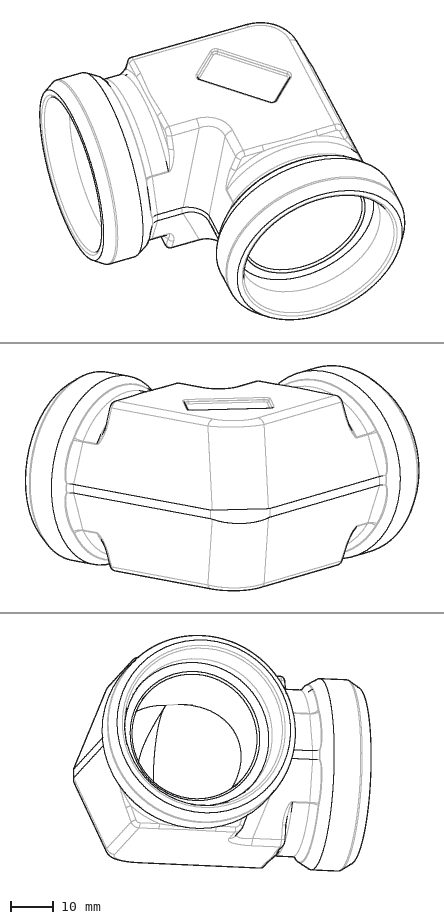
import cadquery as cq
import math

collar_radius = 45.0 / 2
port_length = 67.5 - collar_radius

body_half_height = 20.5
body_half_width = 20.0
side_flat_half_height = 1.045
side_slope = math.radians(20)
body_end = 34.4
outer_bend_radius = 10.0
inner_bend_radius = 5.0
rim_radius = 2.0

neck_radius = 19.65
neck_start = 26.0
neck_corner_radius = 1.0
neck_edge_radius = 1.0
neck_half_gap = 6.75

collar_wall = 33.15
collar_blend_radius = 2.0
bevel_end = 35.8
bevel_slope = math.radians(30)
shoulder_edge_radius = 0.35
collar_front = 42.3
face_radius = 20.8
front_edge_radius = 0.7

bore_radius = 30.0 / 2
drill_half_angle = math.radians(59)
socket_radius = 35.4 / 2
socket_floor = 34.5
socket_cone_angle = math.radians(12)
socket_mouth_radius = 19.05
mouth_edge_radius = 0.6
bore_chamfer = 0.55

panel_length = 20.7
panel_width = 10.9
panel_offset = 2.7
panel_corner_radius = 1.0
panel_depth = 0.9
panel_edge_radius = 0.4

tolerance = 0.1


def make_body():
    """Swept six-sided elbow with its sharp side ridges shaved to flats, then rounded."""
    slant_height = body_half_height - side_flat_half_height
    top_half_width = body_half_width - slant_height * math.tan(side_slope)
    ridge_half_width = body_half_width + side_flat_half_height * math.tan(side_slope)
    path = cq.Workplane("XY").moveTo(0, -body_end).lineTo(0, 0).lineTo(body_end, 0)
    elbow = (
        cq.Workplane("XZ", origin=(0, -body_end, 0))
        .moveTo(-top_half_width, body_half_height)
        .lineTo(top_half_width, body_half_height)
        .lineTo(ridge_half_width, 0)
        .lineTo(top_half_width, -body_half_height)
        .lineTo(-top_half_width, -body_half_height)
        .lineTo(-ridge_half_width, 0)
        .close()
        .sweep(path, transition="right")
    )
    mid_height = body_half_height / 2
    elbow = round_bend(elbow, [-mid_height, mid_height])

    flat_sided = (
        cq.Workplane("XY", origin=(0, 0, -body_half_height))
        .moveTo(-body_half_width, -body_end)
        .lineTo(-body_half_width, body_half_width)
        .lineTo(body_end, body_half_width)
        .lineTo(body_end, -body_half_width)
        .lineTo(body_half_width, -body_half_width)
        .lineTo(body_half_width, -body_end)
        .close()
        .extrude(2 * body_half_height)
    )
    elbow = elbow.intersect(round_bend(flat_sided, [0]))
    return elbow.faces("|Z").edges("not(>X or <Y)").fillet(rim_radius)


def round_bend(elbow, heights):
    """Round the mitred edges, at the given heights, outside and inside the bend."""
    for height in heights:
        outer = cq.selectors.NearestToPointSelector((-body_half_width, body_half_width, height))
        elbow = elbow.edges(outer).fillet(outer_bend_radius)
    for height in heights:
        inner = cq.selectors.NearestToPointSelector((body_half_width, -body_half_width, height))
        elbow = elbow.edges(inner).fillet(inner_bend_radius)
    return elbow


def cut_panel(body):
    """Sink the rounded panel at 45 degrees across the bend, with soft floor and rim edges."""
    plane = cq.Plane(
        origin=(panel_offset, -panel_offset, body_half_height - panel_depth),
        xDir=(1, 1, 0),
        normal=(0, 0, 1),
    )
    pocket = (
        cq.Workplane(plane)
        .rect(panel_length - 2 * panel_edge_radius, panel_width - 2 * panel_edge_radius)
        .extrude(panel_depth)
        .edges("|Z")
        .fillet(panel_corner_radius)
        .faces("<Z")
        .edges()
        .fillet(panel_edge_radius)
    )
    reach = panel_length / 2
    around_panel = cq.selectors.BoxSelector(
        (panel_offset - reach, -panel_offset - reach, body_half_height - tolerance),
        (panel_offset + reach, -panel_offset + reach, body_half_height + tolerance),
    )
    return body.cut(pocket).faces(">Z").edges(around_panel).fillet(panel_edge_radius)


def cut_neck(body):
    """Turn the +X neck above and below the side gap, and soften the edge of its end wall."""
    ring_radius = 2 * body_half_width
    ring_end = body_end + 0.7
    blend = neck_corner_radius * (1 - math.sqrt(0.5))
    ring = (
        cq.Workplane("XY")
        .moveTo(neck_start, ring_radius)
        .lineTo(neck_start, neck_radius + neck_corner_radius)
        .threePointArc(
            (neck_start + blend, neck_radius + blend),
            (neck_start + neck_corner_radius, neck_radius),
        )
        .lineTo(ring_end, neck_radius)
        .lineTo(ring_end, ring_radius)
        .close()
        .revolve(360, (0, 0, 0), (1, 0, 0))
    )
    side_gap = cq.Workplane("XY").box(2 * ring_end, 2 * ring_radius, 2 * neck_half_gap)
    body = body.cut(ring.cut(side_gap))
    for low, high in [(neck_half_gap, ring_radius), (-ring_radius, -neck_half_gap)]:
        wall_edges = cq.selectors.BoxSelector(
            (neck_start - tolerance, -ring_radius, low),
            (neck_start + tolerance, ring_radius, high),
        )
        body = body.edges(wall_edges).fillet(neck_edge_radius)
    return body


def edges_at(x, radius):
    """Selector for the edges around the X axis near x that lie within the radius."""
    reach = radius + tolerance
    return cq.selectors.BoxSelector(
        (x - tolerance, -reach, -reach), (x + tolerance, reach, reach), boundingbox=True
    )


def make_collar():
    """Plain collar with a square back, a chamfered front and the socket opening in it."""
    collar = (
        cq.Workplane("XY")
        .moveTo(collar_wall, 0)
        .lineTo(collar_wall, collar_radius)
        .lineTo(collar_front, collar_radius)
        .lineTo(port_length, face_radius)
        .lineTo(port_length, 0)
        .close()
        .revolve(360, (0, 0, 0), (1, 0, 0))
    )
    collar = collar.edges(edges_at(collar_front, collar_radius)).fillet(front_edge_radius)
    collar = collar.cut(make_bore())
    return collar.edges(edges_at(port_length, socket_mouth_radius)).fillet(mouth_edge_radius)


def add_collar(body):
    """Join the +X collar with a blend all round, then bevel its back through the blend."""
    body = body.union(make_collar())
    body = body.edges(edges_at(collar_wall, body_half_width)).fillet(collar_blend_radius)
    bevel_start = collar_wall - collar_blend_radius / 2
    bevel_low_radius = collar_radius - (bevel_end - bevel_start) * math.tan(bevel_slope)
    bevel_ring = (
        cq.Workplane("XY")
        .moveTo(bevel_start, bevel_low_radius)
        .lineTo(bevel_end, collar_radius)
        .lineTo(bevel_end, collar_radius + 0.7)
        .lineTo(bevel_start, collar_radius + 0.7)
        .close()
        .revolve(360, (0, 0, 0), (1, 0, 0))
    )
    shoulder = cq.selectors.BoxSelector(
        (bevel_start, -collar_radius, -collar_radius),
        (collar_wall + tolerance, collar_radius, collar_radius),
        boundingbox=True,
    )
    return body.cut(bevel_ring).edges(shoulder).fillet(shoulder_edge_radius)


def make_bore():
    """Drilled bore with a conical end, a pipe stop and a tapered socket mouth."""
    cone_tip = -bore_radius / math.tan(drill_half_angle)
    cone_depth = (socket_mouth_radius - socket_radius) / math.tan(socket_cone_angle)
    return (
        cq.Workplane("XY")
        .moveTo(cone_tip, 0)
        .lineTo(0, bore_radius)
        .lineTo(socket_floor - bore_chamfer, bore_radius)
        .lineTo(socket_floor, bore_radius + bore_chamfer)
        .lineTo(socket_floor, socket_radius)
        .lineTo(port_length - cone_depth, socket_radius)
        .lineTo(port_length, socket_mouth_radius)
        .lineTo(port_length, 0)
        .close()
        .revolve(360, (0, 0, 0), (1, 0, 0))
    )


def swap_ports(shape):
    """Turn the part over about its diagonal, which trades the +X and -Y ports."""
    return shape.rotate((0, 0, 0), (1, -1, 0), 180)


elbow = cut_panel(make_body())
for _ in range(2):
    elbow = swap_ports(add_collar(cut_neck(elbow)))
bore = make_bore()
result = elbow.cut(bore).cut(swap_ports(bore))